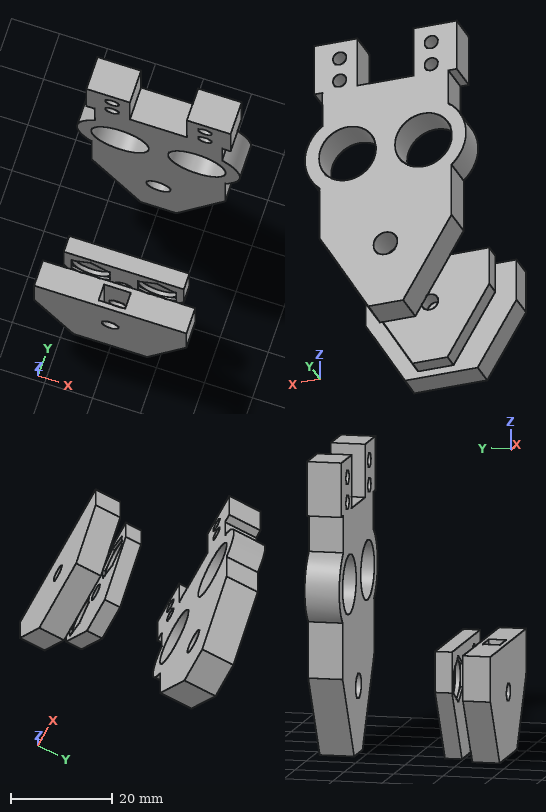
import cadquery as cq
import math

frame_height = 61.1
depth_overall = 37.45
pivot_z = 13.55
screw_diameter = 3.5
plate_top = 23.5

frame_thickness = 7.0
frame_front = depth_overall - frame_thickness
frame_half_width = 13.95
frame_corner_z = 17.35
tip_half_width = 3.7
neck_half_width = 13.25
lug_inner = 5.9
lug_outer = 15.05
lug_bottom = 50.15
gap_floor = 50.4
ring_x = 8.0
ring_z = 35.45
shoulder_z = 37.9
ring_hole_diameter = 12.0
ring_outer_diameter = 17.95
frame_pivot_diameter = 5.0
lug_hole_diameter = 2.8
lug_hole_x = 9.65
lug_hole_heights = (52.25, 57.25)

inner_front = 8.55
inner_thickness = 3.5
inner_half_width = 12.5
inner_corner_z = 15.3
inner_bottom = 0.35
recess_diameter = 8.0
recess_depth = 1.5
hexagon_depth = 0.55
recess_x = 6.9
recess_z = 17.1

outer_thickness = 5.55
outer_half_width = 15.9
outer_corner_z = 14.4
outer_bottom = 0.6
outer_tip_half_width = 7.7
nut_width = 5.55
nut_thickness = 3.5
nut_front = 1.1


def front_plane(y):
    """Sketch plane at depth y: local x is X, local y is Z, extrusion goes toward +Y."""
    return cq.Workplane(cq.Plane(origin=(0, y, 0), xDir=(1, 0, 0), normal=(0, -1, 0)))


def extrude_outline(points, y, thickness):
    return front_plane(y).polyline(points).close().extrude(-thickness)


def cylinders(centers, diameter, y, length):
    return front_plane(y).pushPoints(centers).circle(diameter / 2).extrude(-length)


def mirrored(right_half):
    """Close a right-hand outline with its mirror image about X = 0."""
    return right_half + [(-x, z) for x, z in reversed(right_half)]


def tapered_plate(half_width, tip_half, top, corner_z, bottom, y, thickness):
    outline = mirrored([(half_width, top), (half_width, corner_z), (tip_half, bottom)])
    return extrude_outline(outline, y, thickness)


def make_frame():
    ring_centers = [(-ring_x, ring_z), (ring_x, ring_z)]
    lug_holes = [(side * lug_hole_x, z) for side in (-1, 1) for z in lug_hole_heights]
    outline = mirrored([
        (lug_inner, gap_floor),
        (lug_inner, frame_height),
        (lug_outer, frame_height),
        (lug_outer, lug_bottom),
        (neck_half_width, lug_bottom),
        (neck_half_width, shoulder_z),
        (frame_half_width, shoulder_z),
        (frame_half_width, frame_corner_z),
        (tip_half_width, 0),
    ])
    body = extrude_outline(outline, frame_front, frame_thickness)
    for center in ring_centers:
        body = body.union(cylinders([center], ring_outer_diameter, frame_front, frame_thickness))
    body = body.cut(cylinders(ring_centers, ring_hole_diameter, frame_front, frame_thickness))
    body = body.cut(cylinders(lug_holes, lug_hole_diameter, frame_front, frame_thickness))
    return body.cut(cylinders([(0, pivot_z)], frame_pivot_diameter, frame_front, frame_thickness))


def make_inner_plate():
    plate = tapered_plate(inner_half_width, tip_half_width, plate_top, inner_corner_z,
                          inner_bottom, inner_front, inner_thickness)
    recess_centers = [(-recess_x, recess_z), (recess_x, recess_z)]
    corner_radius = recess_diameter / math.sqrt(3)
    hexagon = [(corner_radius * math.sin(i * math.pi / 3), corner_radius * math.cos(i * math.pi / 3))
               for i in range(6)]
    for center_x, center_z in recess_centers:
        corners = [(center_x + x, center_z + z) for x, z in hexagon]
        plate = plate.cut(extrude_outline(corners, inner_front, hexagon_depth))
    plate = plate.cut(cylinders(recess_centers, recess_diameter, inner_front, recess_depth))
    return plate.cut(cylinders([(0, pivot_z)], screw_diameter, inner_front, inner_thickness))


def make_outer_plate():
    plate = tapered_plate(outer_half_width, outer_tip_half_width, plate_top, outer_corner_z,
                          outer_bottom, 0, outer_thickness)
    nut_radius = nut_width / math.sqrt(3)
    slot = mirrored([
        (nut_width / 2, plate_top),
        (nut_width / 2, pivot_z - nut_radius / 2),
    ])
    slot.insert(2, (0, pivot_z - nut_radius))
    plate = plate.cut(extrude_outline(slot, nut_front, nut_thickness))
    return plate.cut(cylinders([(0, pivot_z)], screw_diameter, 0, outer_thickness))


frame = make_frame()
inner_plate = make_inner_plate()
outer_plate = make_outer_plate()

result = cq.Compound.makeCompound([frame.val(), inner_plate.val(), outer_plate.val()])